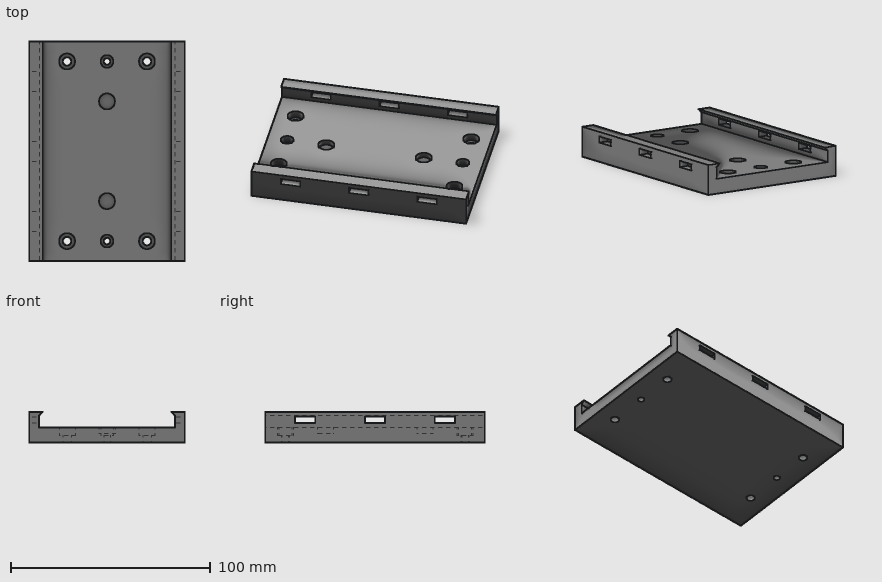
import cadquery as cq

length = 110.0
width = 78.1
height = 15.4
floor_thickness = 7.7
wall_thickness = 5.1
lip_overhang = 1.8

window_length = 10.0
window_height = 3.2
window_top_gap = 2.3
window_pitch = 35.0
window_count = 3

corner_x = 20.0
hole_y = 45.0
corner_diameter = 4.2
corner_bore_diameter = 8.0
corner_bore_depth = 4.0

middle_diameter = 3.2
middle_bore_diameter = 6.4
middle_bore_depth = 4.0

pocket_y = 25.0
pocket_diameter = 8.0
pocket_depth = 3.0


def channel_body():
    """Extrude the channel section, with inward lips, along Y."""
    outer_x = width / 2
    inner_x = outer_x - wall_thickness
    lip_x = inner_x - lip_overhang
    right_half = [
        (outer_x, 0),
        (outer_x, height),
        (lip_x, height),
        (inner_x, height - lip_overhang),
        (inner_x, floor_thickness),
    ]
    left_half = [(-x, z) for x, z in reversed(right_half)]
    section = cq.Workplane("XZ").polyline(right_half + left_half).close()
    return section.extrude(length / 2, both=True)


def floor_plane():
    return cq.Workplane("XY").workplane(offset=floor_thickness)


def counterbored_holes(points, diameter, bore_diameter, bore_depth):
    """Through holes with a wider bore sunk into the floor."""
    holes = floor_plane().pushPoints(points).circle(diameter / 2).extrude(-floor_thickness)
    bores = floor_plane().pushPoints(points).circle(bore_diameter / 2).extrude(-bore_depth)
    return holes.union(bores)


def wall_windows():
    """Rectangular bars that cross both walls along X."""
    centre_z = height - window_top_gap - window_height / 2
    return (
        cq.Workplane("XY", origin=(0, 0, centre_z))
        .rarray(1.1, window_pitch, 1, window_count)
        .box(width, window_length, window_height)
    )


corner_points = [(x, y) for x in (-corner_x, corner_x) for y in (-hole_y, hole_y)]
middle_points = [(0, -hole_y), (0, hole_y)]
pocket_points = [(0, -pocket_y), (0, pocket_y)]

corner_holes = counterbored_holes(
    corner_points, corner_diameter, corner_bore_diameter, corner_bore_depth
)
middle_holes = counterbored_holes(
    middle_points, middle_diameter, middle_bore_diameter, middle_bore_depth
)
pockets = floor_plane().pushPoints(pocket_points).circle(pocket_diameter / 2).extrude(-pocket_depth)

result = (
    channel_body()
    .cut(wall_windows())
    .cut(corner_holes)
    .cut(middle_holes)
    .cut(pockets)
)